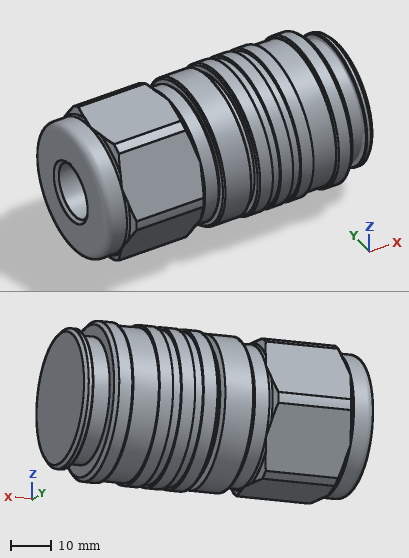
import cadquery as cq
import math

length = 76.5
max_radius = 20.005

nut_radius = 18.0
nut_round = 2.0
nut_end = 32.4
nut_end_chamfer = 0.6
hex_start = 5.65
hex_end = 28.0
hex_apothem = nut_radius
hex_cone_angle = 60.0
hex_root_fillet = 0.8

ring_radius = 19.5
ring_end = 40.25
ring_taper_length = 0.8
edge_chamfer = 0.45

sleeve_start = 42.1
groove_radius = 19.35
first_band_end = 46.1
band_width = 3.5
band_gap = 2.3
extra_bands = 2
collar_start = 64.6
collar_end = 69.5
collar_chamfer = 1.0

neck_radius = 16.0
neck_fillet = 0.4
flange_radius = 17.5
flange_start = 74.3
flange_start_chamfer = 0.2
flange_end_chamfer = 0.9

bore_radius = 7.4
bore_mouth_radius = 8.35
bore_chamfer_depth = 0.9
bore_depth = 10.1


def arc_middle(center, radius, start_angle, end_angle):
    """Point halfway along an arc, with angles in degrees."""
    angle = math.radians((start_angle + end_angle) / 2)
    return (center[0] + radius * math.cos(angle), center[1] + radius * math.sin(angle))


def draw_nut(outline):
    """Rounded front edge, conical hexagon collar and chamfered rear edge."""
    angle = math.radians(hex_cone_angle)
    arc_run = hex_root_fillet * math.sin(angle)
    arc_rise = hex_root_fillet * (1 - math.cos(angle))
    cone_run = (max_radius - nut_radius - arc_rise) / math.tan(angle)
    arc_height = nut_radius + hex_root_fillet
    cone_foot = nut_radius + arc_rise
    front_root = (hex_start, arc_height)
    rear_root = (hex_end, arc_height)
    round_center = (nut_round, nut_radius - nut_round)

    outline = outline.lineTo(0, nut_radius - nut_round)
    outline = outline.threePointArc(
        arc_middle(round_center, nut_round, 180, 90), (nut_round, nut_radius)
    )
    outline = outline.lineTo(hex_start, nut_radius)
    outline = outline.threePointArc(
        arc_middle(front_root, hex_root_fillet, -90, hex_cone_angle - 90),
        (hex_start + arc_run, cone_foot),
    )
    outline = outline.lineTo(hex_start + arc_run + cone_run, max_radius)
    outline = outline.lineTo(hex_end - arc_run - cone_run, max_radius)
    outline = outline.lineTo(hex_end - arc_run, cone_foot)
    outline = outline.threePointArc(
        arc_middle(rear_root, hex_root_fillet, -90 - hex_cone_angle, -90),
        (hex_end, nut_radius),
    )
    outline = outline.lineTo(nut_end - nut_end_chamfer, nut_radius)
    return outline.lineTo(nut_end, nut_radius - nut_end_chamfer)


def draw_front_edge(outline, x, radius, chamfer):
    """Step up to a larger radius with a chamfered corner."""
    outline = outline.lineTo(x, radius - chamfer)
    return outline.lineTo(x + chamfer, radius)


def draw_ring(outline):
    """Plain ring that tapers back down to the nut radius."""
    outline = draw_front_edge(outline, nut_end, ring_radius, edge_chamfer)
    outline = outline.lineTo(ring_end, ring_radius)
    outline = outline.lineTo(ring_end + ring_taper_length, nut_radius)
    return outline.lineTo(sleeve_start, nut_radius)


def draw_sleeve(outline):
    """Raised bands, followed by the end collar."""
    outline = draw_front_edge(outline, sleeve_start, max_radius, edge_chamfer)
    outline = outline.lineTo(first_band_end, max_radius)
    outline = outline.lineTo(first_band_end, groove_radius)
    for band in range(extra_bands):
        band_start = first_band_end + band_gap + band * (band_width + band_gap)
        band_end = band_start + band_width
        outline = outline.lineTo(band_start, groove_radius)
        outline = outline.lineTo(band_start, max_radius)
        outline = outline.lineTo(band_end, max_radius)
        outline = outline.lineTo(band_end, groove_radius)
    outline = outline.lineTo(collar_start, groove_radius)
    outline = draw_front_edge(outline, collar_start, max_radius, edge_chamfer)
    outline = outline.lineTo(collar_end - collar_chamfer, max_radius)
    return outline.lineTo(collar_end, max_radius - collar_chamfer)


def draw_neck_and_flange(outline):
    """Thin neck, filleted into the end flange."""
    fillet_center = (flange_start - neck_fillet, neck_radius + neck_fillet)
    outline = outline.lineTo(collar_end, neck_radius)
    outline = outline.lineTo(flange_start - neck_fillet, neck_radius)
    outline = outline.threePointArc(
        arc_middle(fillet_center, neck_fillet, -90, 0),
        (flange_start, neck_radius + neck_fillet),
    )
    outline = draw_front_edge(outline, flange_start, flange_radius, flange_start_chamfer)
    outline = outline.lineTo(length - flange_end_chamfer, flange_radius)
    return outline.lineTo(length, flange_radius - flange_end_chamfer)


def make_turned_body():
    outline = cq.Workplane("XY").moveTo(0, 0)
    outline = draw_nut(outline)
    outline = draw_ring(outline)
    outline = draw_sleeve(outline)
    outline = draw_neck_and_flange(outline)
    outline = outline.lineTo(length, 0).close()
    return outline.revolve(360, (0, 0, 0), (1, 0, 0))


def make_hex_cutter():
    """Material outside the six flats; two corners lie along Y, two flats face Z."""
    corner_diameter = 2 * hex_apothem / math.cos(math.radians(30))
    return (
        cq.Workplane("YZ", origin=(hex_start, 0, 0))
        .circle(2 * max_radius)
        .polygon(6, corner_diameter)
        .extrude(hex_end - hex_start)
    )


def make_bore():
    """Blind bore with a flat floor and a chamfered mouth."""
    return (
        cq.Workplane("XY")
        .moveTo(0, 0)
        .lineTo(0, bore_mouth_radius)
        .lineTo(bore_chamfer_depth, bore_radius)
        .lineTo(bore_depth, bore_radius)
        .lineTo(bore_depth, 0)
        .close()
        .revolve(360, (0, 0, 0), (1, 0, 0))
    )


result = make_turned_body().cut(make_hex_cutter()).cut(make_bore())